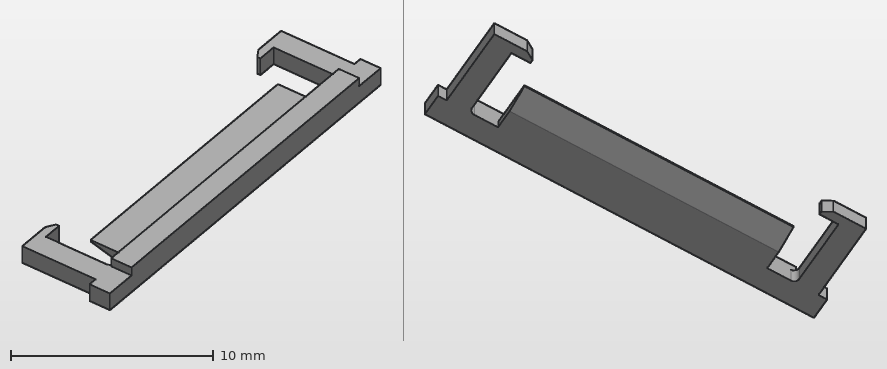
import cadquery as cq

length = 22.55
depth = 5.75
height = 1.55

bar_width = 1.25
arm_width = 1.3
arm_height = 1.05
end_lug = 0.5
corner_radius = 0.3

hook_reach = 1.1
hook_width = 0.5
hook_bevel_x = 0.3
hook_bevel_y = 0.5

flap_length = 15.6
flap_reach = 2.5
flap_thickness = 0.5
flap_edge = 0.1
flap_bevel_reach = 1.4

x_back = depth
x_bar = depth - bar_width
y_end = length / 2
y_arm_outer = y_end - end_lug
y_arm_inner = y_arm_outer - arm_width
y_hook_tip = y_arm_inner - hook_reach


def make_spine():
    """Full-height bar spanning the gap between the two arms."""
    return (
        cq.Workplane("XY")
        .box(bar_width, 2 * y_arm_inner, height, centered=(False, True, False))
        .translate((x_bar, 0, 0))
    )


def make_arm():
    """Hooked arm at the +Y end, with its lug and inner corner fillet."""
    return (
        cq.Workplane("XY")
        .moveTo(x_back, y_end)
        .lineTo(x_bar, y_end)
        .lineTo(x_bar, y_arm_outer)
        .lineTo(0, y_arm_outer)
        .lineTo(0, y_hook_tip + hook_bevel_y)
        .lineTo(hook_bevel_x, y_hook_tip)
        .lineTo(hook_width, y_hook_tip)
        .lineTo(hook_width, y_arm_inner)
        .lineTo(x_bar - corner_radius, y_arm_inner)
        .radiusArc((x_bar, y_arm_inner - corner_radius), corner_radius)
        .lineTo(x_back, y_arm_inner - corner_radius)
        .close()
        .extrude(arm_height)
    )


def make_flap():
    """Flap along the spine, its underside sloping up to a thin free edge."""
    x_edge = x_bar - flap_reach
    x_bevel = x_edge + flap_bevel_reach
    z_edge = flap_thickness - flap_edge
    return (
        cq.Workplane("XZ")
        .moveTo(x_bar, 0)
        .lineTo(x_bar, flap_thickness)
        .lineTo(x_edge, flap_thickness)
        .lineTo(x_edge, z_edge)
        .lineTo(x_bevel, 0)
        .close()
        .extrude(flap_length / 2, both=True)
    )


arm = make_arm()
result = make_spine().union(arm).union(arm.mirror("XZ")).union(make_flap())